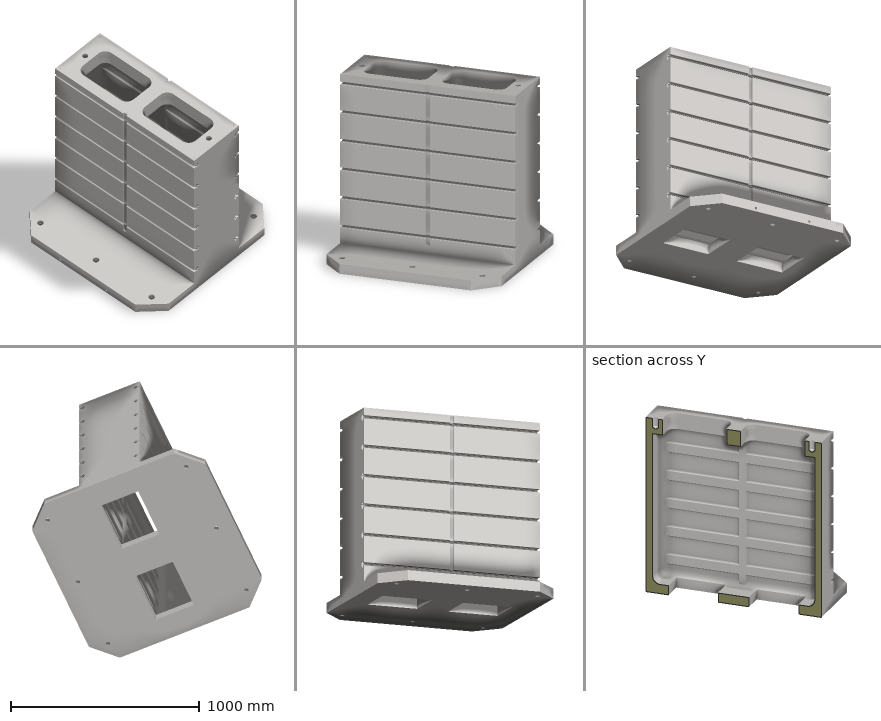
import cadquery as cq
import math

SIZE = 1000.0
BASE_THICKNESS = 55.0
BASE_CORNER_CHAMFER = 125.0

TOWER_THICKNESS = 350.0
WALL_THICKNESS = 40.0
TOP_THICKNESS = 90.0
CAVITY_CORNER_RADIUS = 50.0
FLOOR_FILLET = 40.0

SLOT_COUNT = 6
SLOT_PITCH = 160.0
LOWEST_SLOT_Z = 150.0
NECK_WIDTH = 16.0
HEAD_WIDTH = 32.0
HEAD_START_DEPTH = 17.0
HEAD_END_DEPTH = 29.0
NECK_DEPTH = 35.0
MOUTH_CHAMFER = 1.0

GROOVE_WIDTH = 24.0
GROOVE_DEPTH = 10.0
GROOVE_BOTTOM_Z = 100.0

GROOVE_RIB_WIDTH = 36.0
SLOT_RIB_WIDTH = 50.0
RIB_HEIGHT = 10.0

OPENING_LENGTH = 364.0
OPENING_WIDTH = 220.0
OPENING_X = 223.0
WINDOW_LENGTH = 280.0
WINDOW_X = 229.0

BOLT_X = (-400.0, 0.0, 400.0)
BOLT_Y = 400.0
BOLT_DIAMETER = 24.0
COUNTERBORE_DIAMETER = 35.0
COUNTERBORE_DEPTH = 20.0

DRILL_TIP_ANGLE = 118.0
LIFTING_DIAMETER = 32.0
LIFTING_DEPTH = 50.0
LIFTING_X = 445.0
PIN_DIAMETER = 5.0
PIN_DEPTH = 10.0
PIN_X = (-480.0, 0.0, 480.0)
PIN_Y = 155.0
SIDE_HOLE_DIAMETER = 14.0
SIDE_HOLE_DEPTH = 30.0
SIDE_HOLE_X = 166.0
SIDE_HOLE_Z = 18.0

HALF_SIZE = SIZE / 2
HALF_TOWER = TOWER_THICKNESS / 2
CAVITY_HALF_WIDTH = HALF_TOWER - WALL_THICKNESS
CAVITY_HEIGHT = SIZE - BASE_THICKNESS - TOP_THICKNESS
SLOT_LEVELS = [LOWEST_SLOT_Z + i * SLOT_PITCH for i in range(SLOT_COUNT)]


def box_from_bottom(length, width, height, x, y, z):
    """Box centred on x and y, standing on height z."""
    return cq.Workplane("XY", origin=(x, y, z)).rect(length, width).extrude(height)


def both_faces(shape):
    """The shape together with its mirror image across the XZ plane."""
    return shape.union(shape.mirror("XZ"))


def body():
    base = box_from_bottom(SIZE, SIZE, BASE_THICKNESS, 0, 0, 0)
    base = base.edges("|Z").chamfer(BASE_CORNER_CHAMFER)
    return base.union(box_from_bottom(SIZE, TOWER_THICKNESS, SIZE, 0, 0, 0))


def cavity():
    """Hollow of the tower, rounded in its corners and around its floor."""
    length = SIZE - 2 * WALL_THICKNESS
    hollow = box_from_bottom(length, 2 * CAVITY_HALF_WIDTH, CAVITY_HEIGHT, 0, 0, BASE_THICKNESS)
    return hollow.edges("|Z").fillet(CAVITY_CORNER_RADIUS).faces("<Z").edges().fillet(FLOOR_FILLET)


def rib(width, start, across, along):
    """Rib on the +Y cavity wall: flat crest and concave flanks that run out into the wall."""
    crest = width / 2
    foot = crest + RIB_HEIGHT
    crest_y = CAVITY_HALF_WIDTH - RIB_HEIGHT
    root_y = CAVITY_HALF_WIDTH + RIB_HEIGHT
    diagonal = RIB_HEIGHT * math.sqrt(0.5)
    flank = foot - diagonal
    flank_y = crest_y + diagonal
    section = (
        cq.Workplane(cq.Plane(origin=start, xDir=across, normal=along))
        .moveTo(-foot, root_y)
        .lineTo(-foot, CAVITY_HALF_WIDTH)
        .threePointArc((-flank, flank_y), (-crest, crest_y))
        .lineTo(crest, crest_y)
        .threePointArc((flank, flank_y), (foot, CAVITY_HALF_WIDTH))
        .lineTo(foot, root_y)
        .close()
    )
    return section.extrude(SIZE)


def ribs():
    """One upright rib behind the groove and one level rib behind each slot below the top."""
    shape = rib(GROOVE_RIB_WIDTH, (0, 0, 0), (1, 0, 0), (0, 0, 1))
    for z in SLOT_LEVELS[:-1]:
        shape = shape.union(rib(SLOT_RIB_WIDTH, (-HALF_SIZE, 0, z), (0, 0, -1), (1, 0, 0)))
    return both_faces(shape)


def openings():
    """Rounded openings in the top and rectangular windows through the base."""
    shape = cq.Workplane("XY")
    for side in (-1, 1):
        opening = box_from_bottom(
            OPENING_LENGTH, OPENING_WIDTH, TOP_THICKNESS, side * OPENING_X, 0, SIZE - TOP_THICKNESS
        )
        opening = opening.edges("|Z").fillet(CAVITY_CORNER_RADIUS)
        window_height = BASE_THICKNESS + FLOOR_FILLET
        window = box_from_bottom(WINDOW_LENGTH, OPENING_WIDTH, window_height, side * WINDOW_X, 0, 0)
        shape = shape.union(opening).union(window)
    return shape


def t_slot_outline(z):
    """Section of the +Y slot in the YZ plane, in along its upper side and back along its lower side."""
    upper_side = [
        (0, NECK_WIDTH / 2 + MOUTH_CHAMFER),
        (MOUTH_CHAMFER, NECK_WIDTH / 2),
        (HEAD_START_DEPTH, NECK_WIDTH / 2),
        (HEAD_START_DEPTH, HEAD_WIDTH / 2),
        (HEAD_END_DEPTH, HEAD_WIDTH / 2),
        (HEAD_END_DEPTH, NECK_WIDTH / 2),
        (NECK_DEPTH, NECK_WIDTH / 2),
    ]
    upper = [(HALF_TOWER - depth, z + half) for depth, half in upper_side]
    lower = [(HALF_TOWER - depth, z - half) for depth, half in reversed(upper_side)]
    return upper + lower


def t_slots():
    """Full-length slots: a narrow neck that runs a little deeper than the wide head."""
    shape = cq.Workplane("XY")
    for z in SLOT_LEVELS:
        section = cq.Workplane("YZ", origin=(-HALF_SIZE, 0, 0)).polyline(t_slot_outline(z)).close()
        shape = shape.union(section.extrude(SIZE))
    return both_faces(shape)


def grooves():
    """Upright grooves, open at the top and round at the bottom."""
    radius = GROOVE_WIDTH / 2
    round_z = GROOVE_BOTTOM_Z + radius
    groove = (
        cq.Workplane("XZ", origin=(0, HALF_TOWER, 0))
        .moveTo(-radius, SIZE)
        .lineTo(-radius, round_z)
        .threePointArc((0, GROOVE_BOTTOM_Z), (radius, round_z))
        .lineTo(radius, SIZE)
        .close()
        .extrude(GROOVE_DEPTH)
    )
    return both_faces(groove)


def blind_hole(diameter, depth, mouth, direction):
    """Drilled hole with a conical tip beyond its full-diameter depth."""
    radius = diameter / 2
    tip = radius / math.tan(math.radians(DRILL_TIP_ANGLE / 2))
    mouth = cq.Vector(*mouth)
    direction = cq.Vector(*direction)
    bore = cq.Solid.makeCylinder(radius, depth, mouth, direction)
    cone = cq.Solid.makeCone(radius, 0, tip, mouth + direction * depth, direction)
    return bore.fuse(cone)


def drill_holes(part):
    for x in (-LIFTING_X, LIFTING_X):
        part = part.cut(blind_hole(LIFTING_DIAMETER, LIFTING_DEPTH, (x, 0, SIZE), (0, 0, -1)))
    for x in PIN_X:
        for y in (-PIN_Y, PIN_Y):
            part = part.cut(blind_hole(PIN_DIAMETER, PIN_DEPTH, (x, y, SIZE), (0, 0, -1)))
    for x in (-SIDE_HOLE_X, SIDE_HOLE_X):
        mouth = (x, -HALF_SIZE, SIDE_HOLE_Z)
        part = part.cut(blind_hole(SIDE_HOLE_DIAMETER, SIDE_HOLE_DEPTH, mouth, (0, 1, 0)))
    return part


def drill_bolt_holes(part):
    centres = [(x, y) for x in BOLT_X for y in (-BOLT_Y, BOLT_Y)]
    base_top = cq.Workplane("XY", origin=(0, 0, BASE_THICKNESS)).pushPoints(centres)
    part = part.cut(base_top.circle(BOLT_DIAMETER / 2).extrude(-BASE_THICKNESS))
    return part.cut(base_top.circle(COUNTERBORE_DIAMETER / 2).extrude(-COUNTERBORE_DEPTH))


result = body()
result = result.cut(cavity().cut(ribs())).cut(openings())
result = result.cut(t_slots()).cut(grooves())
result = drill_holes(drill_bolt_holes(result))